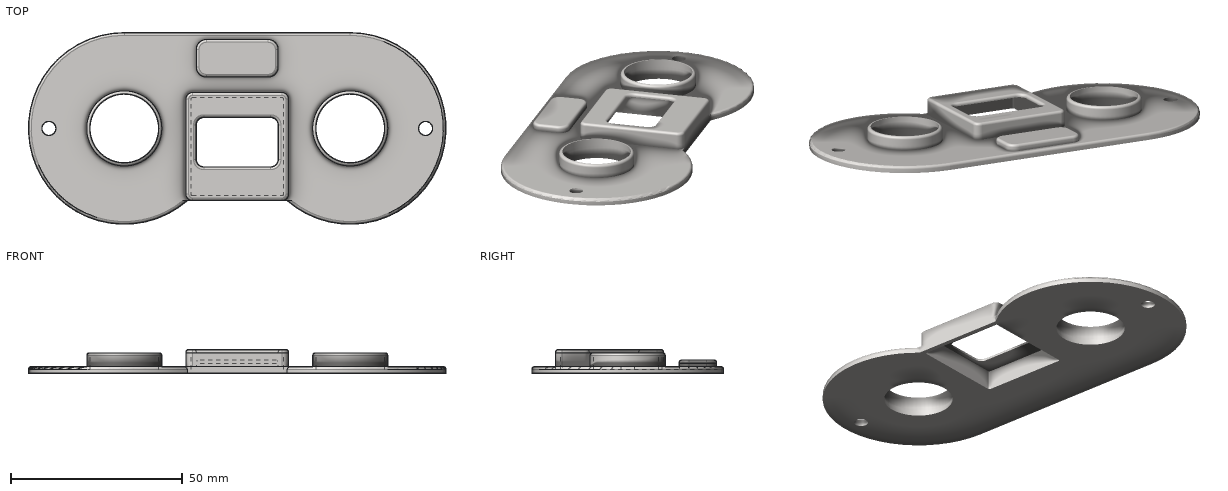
import cadquery as cq
import math

overall_length = 121.9
lobe_diameter = 56.0
plate_thickness = 2.0
edge_radius = 0.8

ring_outer_diameter = 22.0
bore_diameter = 20.0
ring_height = 4.0

screw_hole_diameter = 4.0
screw_hole_edge_distance = 6.0

frame_width = 30.0
frame_depth = 31.6
frame_corner_radius = 2.0
frame_front_y = -21.1
frame_height = 5.0

window_width = 23.9
window_depth = 14.4
window_corner_radius = 2.2
window_center_y = -4.0

frame_wall = 1.5

pad_width = 23.9
pad_depth = 11.0
pad_corner_radius = 2.9
pad_center_y = 20.5
pad_height = 2.0

cover_thickness = 1.0

lobe_radius = lobe_diameter / 2
lobe_x = overall_length / 2 - lobe_radius
screw_hole_x = overall_length / 2 - screw_hole_edge_distance
lobe_centers = [(-lobe_x, 0), (lobe_x, 0)]
screw_hole_centers = [(-screw_hole_x, 0), (screw_hole_x, 0)]
frame_center_y = frame_front_y + frame_depth / 2
cavity_corner_radius = frame_corner_radius - frame_wall
frame_base_height = frame_height - cover_thickness
pad_base_height = pad_height - cover_thickness
lobe_diagonal = lobe_radius / math.sqrt(2)
front_edge_x = lobe_x - math.sqrt(lobe_radius**2 - frame_front_y**2)


def rounded_block(width, depth, height, corner_radius, center_y, bottom_z):
    """Upright block with rounded vertical corners, centred on X = 0."""
    return (
        cq.Workplane("XY", origin=(0, center_y, bottom_z))
        .rect(width, depth)
        .extrude(height)
        .edges("|Z")
        .fillet(corner_radius)
    )


def cavity_cutter():
    """Rounded prism that hollows the plate and the frame base to a constant frame wall."""
    return rounded_block(
        frame_width - 2 * frame_wall, frame_depth - 2 * frame_wall, plate_thickness + frame_base_height,
        cavity_corner_radius, frame_center_y, 0,
    )


def make_plate():
    """Flat plate with two round ends, a straight back and a recessed straight front."""
    plate = (
        cq.Workplane("XY")
        .moveTo(-front_edge_x, frame_front_y)
        .lineTo(front_edge_x, frame_front_y)
        .threePointArc((lobe_x, -lobe_radius), (lobe_x + lobe_radius, 0))
        .threePointArc((lobe_x + lobe_diagonal, lobe_diagonal), (lobe_x, lobe_radius))
        .lineTo(-lobe_x, lobe_radius)
        .threePointArc((-lobe_x - lobe_diagonal, lobe_diagonal), (-lobe_x - lobe_radius, 0))
        .threePointArc((-lobe_x, -lobe_radius), (-front_edge_x, frame_front_y))
        .close()
        .extrude(plate_thickness)
    )
    front_edge = cq.selectors.NearestToPointSelector((0, frame_front_y, plate_thickness))
    plate = plate.edges(cq.selectors.StringSyntaxSelector(">Z") - front_edge).fillet(edge_radius)
    bores = cq.Workplane("XY").pushPoints(lobe_centers).circle(bore_diameter / 2).extrude(plate_thickness)
    screw_holes = (
        cq.Workplane("XY")
        .pushPoints(screw_hole_centers)
        .circle(screw_hole_diameter / 2)
        .extrude(plate_thickness)
    )
    return plate.cut(bores).cut(screw_holes).cut(cavity_cutter())


def make_ring(center):
    """Collar standing on the plate around a bore, rounded on its outer upper edge."""
    base = cq.Workplane("XY", origin=(*center, plate_thickness))
    bore = base.circle(bore_diameter / 2).extrude(ring_height)
    disc = base.circle(ring_outer_diameter / 2).extrude(ring_height)
    return disc.faces(">Z").edges().fillet(edge_radius).cut(bore)


def make_frame_base():
    """Lower layer of the window frame."""
    return rounded_block(
        frame_width, frame_depth, frame_base_height,
        frame_corner_radius, frame_center_y, plate_thickness,
    ).cut(cavity_cutter())


def make_frame_cover():
    """Upper layer of the window frame, rounded around its outline and its window."""
    bottom_z = plate_thickness + frame_base_height
    window = rounded_block(
        window_width, window_depth, cover_thickness,
        window_corner_radius, window_center_y, bottom_z,
    )
    return (
        rounded_block(
            frame_width, frame_depth, cover_thickness,
            frame_corner_radius, frame_center_y, bottom_z,
        )
        .cut(window)
        .faces(">Z")
        .edges()
        .fillet(edge_radius)
    )


def make_pad_base():
    """Lower layer of the raised pad."""
    return rounded_block(
        pad_width, pad_depth, pad_base_height,
        pad_corner_radius, pad_center_y, plate_thickness,
    )


def make_pad_cover():
    """Upper layer of the raised pad, rounded around its top."""
    return (
        rounded_block(
            pad_width, pad_depth, cover_thickness,
            pad_corner_radius, pad_center_y, plate_thickness + pad_base_height,
        )
        .faces(">Z")
        .edges()
        .fillet(edge_radius)
    )


plate = make_plate()
rings = [make_ring(center) for center in lobe_centers]
frame_base = make_frame_base()
frame_cover = make_frame_cover()
pad_base = make_pad_base()
pad_cover = make_pad_cover()

result = cq.Compound.makeCompound([
    plate.val(),
    *[ring.val() for ring in rings],
    frame_base.val(),
    frame_cover.val(),
    pad_base.val(),
    pad_cover.val(),
])